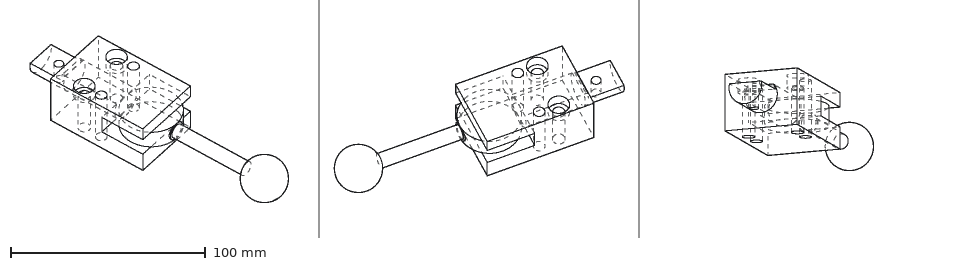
import cadquery as cq

block_length = 60.0
block_width = 40.0
block_height = 29.9
axis_height = 16.9

hole_spacing = 27.0
bolt_x = 16.9
bolt_diameter = 6.5
counterbore_diameter = 11.0
counterbore_depth = 6.5
dowel_x = 28.0
dowel_diameter = 6.0

plunger_radius = 9.0
plunger_reach = 22.0
plunger_flat_z = 22.0
end_flat_z = 19.1
end_flat_gap = 2.0
plunger_hole_x = -10.1
plunger_hole_diameter = 5.0

overall_length = 158.0
cam_radius = 16.6
cam_x = 50.0
cam_thickness = 10.5
collar_end_x = cam_x + cam_radius
rod_diameter = 8.0
ball_radius = 12.5
ball_x = overall_length - plunger_reach - ball_radius

slot_start_x = cam_x - cam_radius
slot_bottom_z = axis_height - cam_thickness / 2


def round_bar(start_x, end_x, radius):
    """Cylinder along X on the common axis of plunger and lever."""
    bar = cq.Workplane("YZ", origin=(start_x, 0, axis_height))
    return bar.circle(radius).extrude(end_x - start_x)


def space_above(start_x, end_x, bottom_z):
    """Block that removes everything above bottom_z from a bar."""
    corner = (start_x, -block_width / 2, bottom_z)
    return cq.Workplane(origin=corner).box(
        end_x - start_x, block_width, block_height, centered=False
    )


def flatted_bar(start_x, end_x):
    """Plunger section, used for both the plunger and its bore."""
    bar = round_bar(start_x, end_x, plunger_radius)
    return bar.cut(space_above(start_x, end_x, plunger_flat_z))


def make_housing():
    block = cq.Workplane().box(
        block_length, block_width, block_height, centered=(False, True, False)
    )
    slot = cq.Workplane(origin=(slot_start_x, 0, slot_bottom_z)).box(
        block_length - slot_start_x, block_width, cam_thickness, centered=(False, True, False)
    )
    block = block.cut(slot).cut(flatted_bar(0, slot_start_x))

    top = cq.Workplane(origin=(0, 0, block_height))
    for y in (-hole_spacing / 2, hole_spacing / 2):
        bolt_hole = top.center(bolt_x, y).circle(bolt_diameter / 2).extrude(-block_height)
        counterbore = top.center(bolt_x, y).circle(counterbore_diameter / 2).extrude(-counterbore_depth)
        dowel_hole = top.center(dowel_x, y).circle(dowel_diameter / 2).extrude(-block_height)
        block = block.cut(bolt_hole).cut(counterbore).cut(dowel_hole)
    return block


def make_plunger():
    plunger = flatted_bar(-plunger_reach, slot_start_x)
    plunger = plunger.cut(space_above(-plunger_reach, -end_flat_gap, end_flat_z))
    cross_hole = (
        cq.Workplane()
        .center(plunger_hole_x, 0)
        .circle(plunger_hole_diameter / 2)
        .extrude(block_height)
    )
    return plunger.cut(cross_hole)


def make_lever():
    cam = (
        cq.Workplane(origin=(cam_x, 0, slot_bottom_z))
        .circle(cam_radius)
        .extrude(cam_thickness)
    )
    collar = round_bar(cam_x, collar_end_x, cam_thickness / 2)
    rod = round_bar(cam_x, ball_x, rod_diameter / 2)
    ball = cq.Workplane(origin=(ball_x, 0, axis_height)).sphere(ball_radius)
    return cam.union(collar).union(rod).union(ball)


housing = make_housing()
plunger = make_plunger()
lever = make_lever()

result = cq.Compound.makeCompound([housing.val(), plunger.val(), lever.val()])